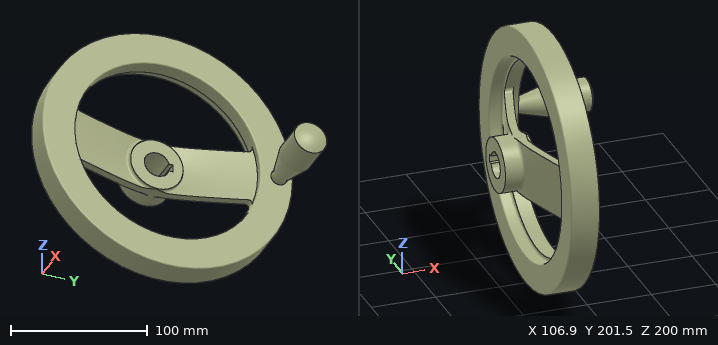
import cadquery as cq
import math


rim_radius = 100.0
rim_bore_radius = 154.1 / 2
rim_front = 23.0
rim_width = 22.0
rim_back = rim_front + rim_width
rim_edge_fillet = 1.25
bore_web_fillet = 2.0

hub_radius = 21.0
hub_back = 25.0
hub_fillet = 2.0
shaft_radius = 10.0
keyway_width = 6.0
keyway_reach = 12.8

web_angle = math.radians(19)
web_front_at_hub = 14.4
web_axial_thickness = 6.8
web_rise = (rim_bore_radius - hub_radius) * math.tan(web_angle)
web_back_at_hub = web_front_at_hub + web_axial_thickness
web_front_at_rim = web_front_at_hub + web_rise
window_radius = 148.0 / 2
web_back_at_window = web_back_at_hub + (window_radius - hub_radius) * math.tan(web_angle)
window_corner_fillet = 3.0
spoke_half_width = hub_radius

handle_offset = (rim_radius + rim_bore_radius) / 2
neck_radius = 12.48 / 2
grip_radius = 26.0 / 2
neck_length = 4.0
taper_length = 26.0
overall_length = 106.89
dome_height = 4.0


def revolve_about_x(profile):
    """Turn a profile, drawn as (axial, radial) points, around the X axis."""
    return profile.close().revolve(360, (0, 0, 0), (1, 0, 0))


def circle_edges_at(x, radius):
    """Select circular edges centred on X, no larger than the radius, at one axial position."""
    margin = 0.1
    reach = radius + margin
    return cq.selectors.BoxSelector(
        (x - margin, -reach, -reach), (x + margin, reach, reach), boundingbox=True
    )


def make_solid_wheel():
    """Rim, hub and dished front, with everything behind the web still solid."""
    return revolve_about_x(
        cq.Workplane("XY")
        .moveTo(0, 0)
        .lineTo(0, hub_radius)
        .lineTo(web_front_at_hub, hub_radius)
        .lineTo(web_front_at_rim, rim_bore_radius)
        .lineTo(rim_front, rim_bore_radius)
        .lineTo(rim_front, rim_radius)
        .lineTo(rim_back, rim_radius)
        .lineTo(rim_back, 0)
    )


def make_rear_pocket():
    """The space behind the spoke, reaching just past the window corners."""
    corner_centre_radius = window_radius - window_corner_fillet
    corner_centre_height = spoke_half_width + window_corner_fillet
    half_height = corner_centre_height * window_radius / corner_centre_radius
    behind_web = revolve_about_x(
        cq.Workplane("XY")
        .moveTo(hub_back, 0)
        .lineTo(hub_back, hub_radius)
        .lineTo(web_back_at_hub, hub_radius)
        .lineTo(web_back_at_window, window_radius)
        .lineTo(rim_back, window_radius)
        .lineTo(rim_back, 0)
    )
    hub_corner = circle_edges_at(web_back_at_hub, hub_radius)
    behind_web = behind_web.edges(hub_corner).fillet(hub_fillet)
    band = cq.Workplane("YZ").rect(2 * rim_radius, 2 * half_height).extrude(rim_back)
    return behind_web.intersect(band)


def round_front(wheel):
    """Blend the front of the web into the hub and into the rim bore."""
    at_hub = circle_edges_at(web_front_at_hub, hub_radius)
    at_rim = circle_edges_at(web_front_at_rim, rim_bore_radius)
    return wheel.edges(at_hub).fillet(hub_fillet).edges(at_rim).fillet(bore_web_fillet)


def round_rim_edges(wheel):
    """Round the inner and outer edges of both rim faces."""
    for face_x in (rim_front, rim_back):
        wheel = wheel.edges(circle_edges_at(face_x, rim_radius)).fillet(rim_edge_fillet)
    return wheel


def make_windows():
    """The two D-shaped openings above and below the spoke."""
    disc = cq.Workplane("YZ").circle(window_radius).extrude(rim_back)
    spoke = cq.Workplane("YZ").rect(2 * rim_radius, 2 * spoke_half_width).extrude(rim_back)
    return disc.cut(spoke).edges("|X").fillet(window_corner_fillet)


def make_shaft_hole():
    bore = cq.Workplane("YZ").circle(shaft_radius).extrude(hub_back)
    keyway = (
        cq.Workplane("YZ")
        .center(keyway_reach / 2, 0)
        .rect(keyway_reach, keyway_width)
        .extrude(hub_back)
    )
    return bore.union(keyway)


def make_handle():
    taper_start = rim_back + neck_length
    dome_start = overall_length - dome_height
    dome_radius = (grip_radius**2 + dome_height**2) / (2 * dome_height)
    mid_radius = grip_radius / 2
    mid_x = overall_length - dome_radius + math.sqrt(dome_radius**2 - mid_radius**2)
    neck_root = rim_back - rim_edge_fillet
    handle = revolve_about_x(
        cq.Workplane("XY")
        .moveTo(neck_root, 0)
        .lineTo(neck_root, neck_radius)
        .lineTo(taper_start, neck_radius)
        .lineTo(taper_start + taper_length, grip_radius)
        .lineTo(dome_start, grip_radius)
        .threePointArc((mid_x, mid_radius), (overall_length, 0))
    )
    return handle.translate((0, handle_offset, 0))


wheel = round_front(make_solid_wheel())
wheel = wheel.cut(make_windows()).cut(make_rear_pocket())
wheel = round_rim_edges(wheel)
result = wheel.cut(make_shaft_hole()).union(make_handle())